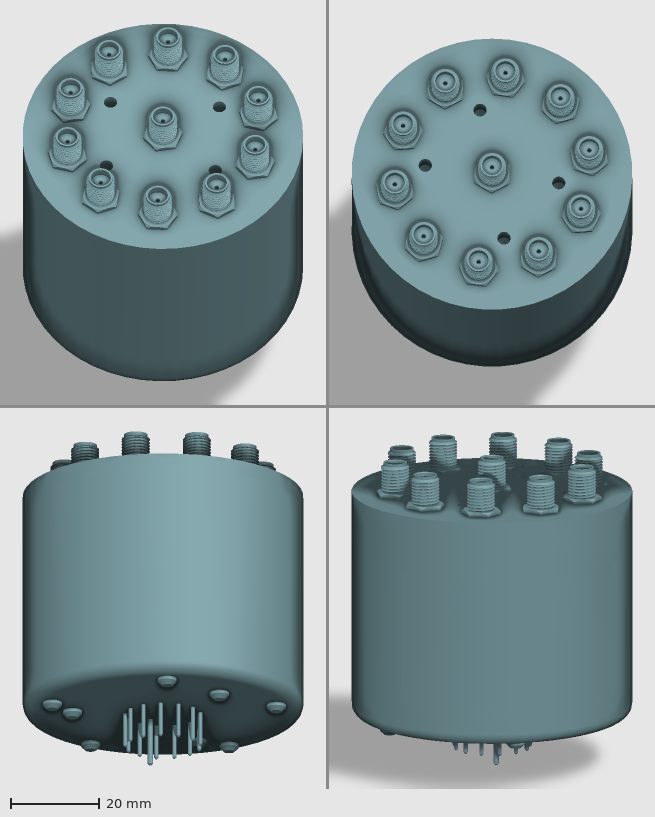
import math

import cadquery as cq

overall_height = 70.46

body_diameter = 63.5
body_radius = body_diameter / 2
body_height = 51.82
lid_thickness = 3.6
bottom_fillet = 2.5

label_height = 30.48
label_drop = 13.27
label_top = body_height - label_drop
label_depth = 1.0
label_half_angle = 0.9

mount_circle_radius = 15.24
mount_hole_diameter = 3.0
mount_hole_depth = 5.0
mount_hole_angles = (54, 162, 234, 342)
drill_tip_angle = 118

plug_diameter = 1.68
plug_x = 4.86
plug_y = 15.85

connector_count = 10
connector_circle_radius = 22.35
nut_sides = 6
nut_across_flats = 7.94
nut_corner_diameter = 9.0
nut_top_diameter = nut_across_flats
nut_height = 1.0
nut_chamfer_height = 0.4
thread_diameter = 6.35
mm_per_inch = 25.4
threads_per_inch = 36
thread_pitch = mm_per_inch / threads_per_inch
thread_depth = 0.42
thread_root_overlap = 0.05
ridge_foot_width = 0.6 * thread_pitch
ridge_crest_width = thread_pitch / 8
thread_root_diameter = thread_diameter - 2 * thread_depth
nose_diameter = 5.33
nose_length = 0.65
nose_taper_length = 0.4
bore_diameter = 4.57
inner_bore_diameter = 4.37
bore_depth = 1.85
bore_lead_in = 0.15
socket_diameter = 0.94
socket_mouth_diameter = 1.19
socket_depth = 2.5

pin_count = 13
pin_circle_radius = 8.57
first_pin_angle = 90
pin_diameter = 0.94
pin_length = 7.9
key_pin_diameter = 1.19
key_pin_y = 4.71
pin_tip_length = 0.4
pin_tip_diameter = 0.3

screw_head_diameter = 4.37
screw_seat_diameter = 4.2
screw_seat_height = 0.15
screw_rim_height = 0.75
screw_head_height = 1.68
screw_top_diameter = 2.5
outer_screw_count = 5
outer_screw_circle_radius = 26.66
first_outer_screw_angle = 90
inner_screw_count = 3
inner_screw_circle_radius = 20.7
first_inner_screw_angle = -90

connector_height = 7.72
thread_top = connector_height - nose_length - nose_taper_length
key_pin_length = overall_height - body_height - connector_height

overlap = 0.5


def ring_points(radius, count, start_angle):
    """Points equally spaced on a circle about the Z axis."""
    points = []
    for index in range(count):
        angle = math.radians(start_angle + index * 360 / count)
        points.append((radius * math.cos(angle), radius * math.sin(angle)))
    return points


def revolve_profile(points):
    """Turn a closed (radius, height) outline about the Z axis."""
    return cq.Workplane("XZ").polyline(points).close().revolve(360, (0, 0, 0), (0, 1, 0))


def make_can():
    can = cq.Workplane("XY").circle(body_radius).extrude(body_height - lid_thickness)
    return can.faces("<Z").edges().fillet(bottom_fillet)


def make_lid():
    lid = cq.Workplane("XY", origin=(0, 0, body_height - lid_thickness))
    return lid.circle(body_radius).extrude(lid_thickness)


def make_label():
    """Curved strip centred on +Y whose outer face lies flush in the can."""
    inner_radius = body_radius - label_depth
    across = math.sin(label_half_angle)
    along = math.cos(label_half_angle)
    return (
        cq.Workplane("XY", origin=(0, 0, label_top - label_height))
        .moveTo(-body_radius * across, body_radius * along)
        .threePointArc((0, body_radius), (body_radius * across, body_radius * along))
        .lineTo(inner_radius * across, inner_radius * along)
        .threePointArc((0, inner_radius), (-inner_radius * across, inner_radius * along))
        .close()
        .extrude(label_height)
    )


def make_plug():
    plug = cq.Workplane("XY", origin=(plug_x, plug_y, body_height - lid_thickness))
    return plug.circle(plug_diameter / 2).extrude(lid_thickness)


def make_mount_hole():
    """Blind drilled hole with a conical bottom, mouth at the lid surface."""
    radius = mount_hole_diameter / 2
    tip_length = radius / math.tan(math.radians(drill_tip_angle / 2))
    floor = body_height - mount_hole_depth
    return revolve_profile([
        (0, body_height),
        (radius, body_height),
        (radius, floor),
        (0, floor - tip_length),
    ])


def make_nut():
    """Hexagon with corners chamfered on top, flats facing +X and -X."""
    half_side_angle = 180 / nut_sides
    corner_distance = nut_across_flats / math.cos(math.radians(half_side_angle))
    hexagon = (
        cq.Workplane("XY", origin=(0, 0, -overlap))
        .polygon(nut_sides, corner_distance)
        .extrude(nut_height + overlap)
        .rotate((0, 0, 0), (0, 0, 1), half_side_angle)
    )
    envelope = revolve_profile([
        (0, -overlap),
        (nut_corner_diameter / 2, -overlap),
        (nut_corner_diameter / 2, nut_height - nut_chamfer_height),
        (nut_top_diameter / 2, nut_height),
        (0, nut_height),
    ])
    return hexagon.intersect(envelope)


def make_barrel():
    """Barrel at the thread root diameter, with a tapered nose and a stepped socket."""
    root = thread_root_diameter / 2
    crest = thread_diameter / 2
    nose = nose_diameter / 2
    collar_top = connector_height - nose_length
    floor = connector_height - bore_depth
    return revolve_profile([
        (0, 0),
        (root, 0),
        (root, thread_top),
        (crest, thread_top),
        (nose, collar_top),
        (nose, connector_height),
        (bore_diameter / 2, connector_height),
        (inner_bore_diameter / 2, connector_height - bore_lead_in),
        (inner_bore_diameter / 2, floor),
        (socket_mouth_diameter / 2, floor),
        (socket_diameter / 2, floor - (socket_mouth_diameter - socket_diameter) / 2),
        (socket_diameter / 2, floor - socket_depth),
        (0, floor - socket_depth),
    ])


def make_thread():
    """Helical ridge that starts inside the nut and ends inside the tapered collar."""
    start = nut_height - thread_pitch / 2
    foot = thread_root_diameter / 2 - thread_root_overlap
    path = cq.Wire.makeHelix(
        thread_pitch, thread_top - start, thread_root_diameter / 2, center=cq.Vector(0, 0, start)
    )
    ridge = (
        cq.Workplane("XZ")
        .moveTo(foot, start - ridge_foot_width / 2)
        .lineTo(thread_diameter / 2, start - ridge_crest_width / 2)
        .lineTo(thread_diameter / 2, start + ridge_crest_width / 2)
        .lineTo(foot, start + ridge_foot_width / 2)
        .close()
    )
    return ridge.sweep(cq.Workplane(path), isFrenet=True)


def make_pin(diameter, length):
    """Pin pointing down from the underside, with a tapered tip."""
    return revolve_profile([
        (0, overlap),
        (diameter / 2, overlap),
        (diameter / 2, pin_tip_length - length),
        (pin_tip_diameter / 2, -length),
        (0, -length),
    ])


def make_screw_head():
    """Low head: a slightly bevelled seat, a straight rim and a tapered crown."""
    return revolve_profile([
        (0, overlap),
        (screw_seat_diameter / 2, overlap),
        (screw_seat_diameter / 2, 0),
        (screw_head_diameter / 2, -screw_seat_height),
        (screw_head_diameter / 2, -screw_rim_height),
        (screw_top_diameter / 2, -screw_head_height),
        (0, -screw_head_height),
    ])


def make_connector():
    """One complete connector, standing on the lid at the part's axis."""
    connector = make_nut().union(make_barrel()).union(make_thread(), clean=False)
    return connector.translate((0, 0, body_height))


def make_housing():
    """Can and lid; flush parts keep their outlines because faces are not merged."""
    label = make_label()
    plug = make_plug()
    can = make_can().cut(label).union(label, clean=False)
    lid = make_lid().cut(plug).union(plug, clean=False)
    return can.union(lid, clean=False)


def place_around_axis(piece, radius, angle):
    """Move a piece out along +X, then swing it about the Z axis."""
    return piece.translate((radius, 0, 0)).rotate((0, 0, 0), (0, 0, 1), angle)


def place_connectors():
    connector = make_connector()
    placed = [connector]
    for index in range(connector_count):
        angle = index * 360 / connector_count
        placed.append(place_around_axis(connector, connector_circle_radius, angle))
    return placed


def place_pins():
    pin = make_pin(pin_diameter, pin_length)
    key_pin = make_pin(key_pin_diameter, key_pin_length)
    placed = [key_pin.translate((0, key_pin_y, 0))]
    for x, y in ring_points(pin_circle_radius, pin_count, first_pin_angle):
        placed.append(pin.translate((x, y, 0)))
    return placed


def place_screw_heads():
    head = make_screw_head()
    points = ring_points(outer_screw_circle_radius, outer_screw_count, first_outer_screw_angle)
    points += ring_points(inner_screw_circle_radius, inner_screw_count, first_inner_screw_angle)
    return [head.translate((x, y, 0)) for x, y in points]


part = make_housing()

mount_hole = make_mount_hole()
for hole_angle in mount_hole_angles:
    part = part.cut(place_around_axis(mount_hole, mount_circle_radius, hole_angle), clean=False)

for attached in place_connectors() + place_pins() + place_screw_heads():
    part = part.union(attached, clean=False)

result = cq.Workplane(part.solids().val())